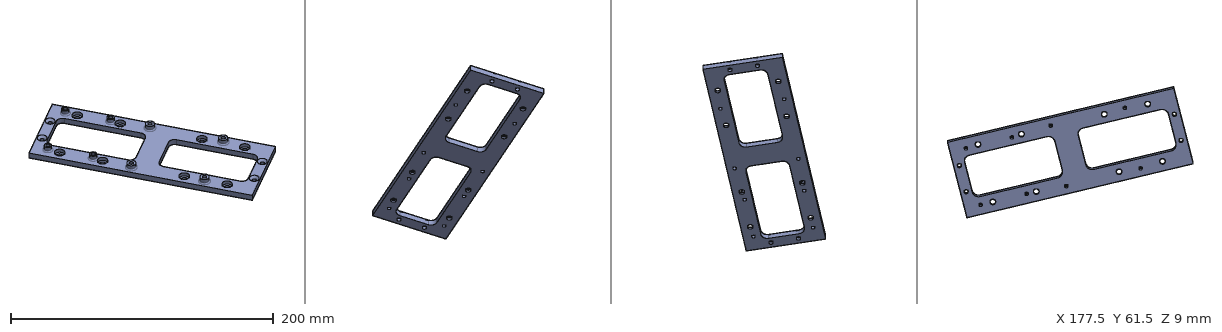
import cadquery as cq

length = 177.5
width = 61.5
thickness = 5.0
total_height = 9.0
boss_height = total_height - thickness

window_inner_x = 9.2
window_outer_x = 79.8
window_width = 33.7
window_corner_radius = 5.0

bore_columns = (32.5, 66.5)
bore_y = 23.5
bore_diameter = 4.3
counterbore_diameter = 8.0
counterbore_depth = 3.0

sink_x = 84.3
sink_y = 10.6
sink_hole_diameter = 3.2
sink_diameter = 7.5
sink_angle = 100.0

foot_radius = 1.0
boss_bore = 3.2
pilot_bore = 2.7
small_boss_diameter = 5.5
small_boss_columns = (-76.1, -40.1)
small_boss_spacing = 46.1
small_boss_offset_y = 0.4
large_boss_diameter = 7.0
large_boss_columns = (-9.2, 49.0)
large_boss_spacing = 49.3


def pairs(columns, half_spacing, offset=0.0):
    """Two points per column, spaced evenly about y = offset."""
    return [(x, offset + side * half_spacing) for x in columns for side in (-1, 1)]


def mirrored(columns):
    """The columns together with their mirror images about x = 0."""
    return [side * x for x in columns for side in (-1, 1)]


def add_bosses(body, points, diameter):
    """Raise bosses with a concave foot fillet bored down to a narrower pilot through the plate."""
    radius = diameter / 2
    profile = (
        cq.Workplane("XZ")
        .lineTo(radius + foot_radius, 0)
        .radiusArc((radius, foot_radius), foot_radius)
        .lineTo(radius, boss_height)
        .lineTo(0, boss_height)
        .close()
    )
    boss = profile.revolve(360, (0, 0, 0), (0, 1, 0))
    for x, y in points:
        body = body.union(boss.translate((x, y, thickness)))
    pilots = cq.Workplane("XY").pushPoints(points).circle(pilot_bore / 2).extrude(thickness)
    bores = (
        cq.Workplane("XY", origin=(0, 0, thickness))
        .pushPoints(points)
        .circle(boss_bore / 2)
        .extrude(boss_height)
    )
    return body.cut(pilots).cut(bores)


plate = cq.Workplane("XY").box(length, width, thickness, centered=(True, True, False))

window_length = window_outer_x - window_inner_x
window_center_x = (window_outer_x + window_inner_x) / 2
windows = (
    cq.Workplane("XY")
    .pushPoints([(x, 0) for x in mirrored([window_center_x])])
    .rect(window_length, window_width)
    .extrude(thickness)
    .edges("|Z")
    .fillet(window_corner_radius)
)
plate = plate.cut(windows)

plate = (
    plate.faces(">Z")
    .workplane(origin=(0, 0, thickness))
    .pushPoints(pairs(mirrored(bore_columns), bore_y))
    .cboreHole(bore_diameter, counterbore_diameter, counterbore_depth)
)
plate = (
    plate.faces(">Z")
    .workplane(origin=(0, 0, thickness))
    .pushPoints(pairs(mirrored([sink_x]), sink_y))
    .cskHole(sink_hole_diameter, sink_diameter, sink_angle)
)

small_boss_points = pairs(small_boss_columns, small_boss_spacing / 2, small_boss_offset_y)
large_boss_points = pairs(large_boss_columns, large_boss_spacing / 2)
plate = add_bosses(plate, small_boss_points, small_boss_diameter)
result = add_bosses(plate, large_boss_points, large_boss_diameter)